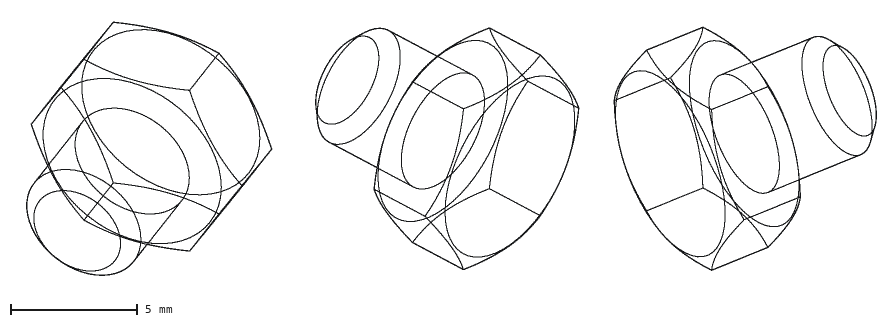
import cadquery as cq
import math

across_corners = 9.24
total_length = 8.5
head_height = 3.5
head_face_diameter = 7.8
head_chamfer_angle = 30.0
shank_diameter = 5.0
tip_chamfer = 0.6

shank_length = total_length - head_height
corner_radius = across_corners / 2
face_radius = head_face_diameter / 2
corner_drop = (corner_radius - face_radius) * math.tan(math.radians(head_chamfer_angle))


def make_head():
    """Hexagonal head with both faces turned to a 30 degree conical chamfer."""
    hexagon = cq.Workplane("XZ").polygon(6, across_corners).extrude(-head_height)
    turned_envelope = (
        cq.Workplane("XY")
        .moveTo(0, 0)
        .lineTo(face_radius, 0)
        .lineTo(corner_radius, corner_drop)
        .lineTo(corner_radius, head_height - corner_drop)
        .lineTo(face_radius, head_height)
        .lineTo(0, head_height)
        .close()
        .revolve(360, (0, 0, 0), (0, 1, 0))
    )
    return hexagon.intersect(turned_envelope)


def make_shank():
    """Plain cylindrical shank with a 45 degree chamfered tip."""
    shank = cq.Workplane("XZ").circle(shank_diameter / 2).extrude(shank_length)
    return shank.faces("<Y").chamfer(tip_chamfer)


result = make_head().union(make_shank())